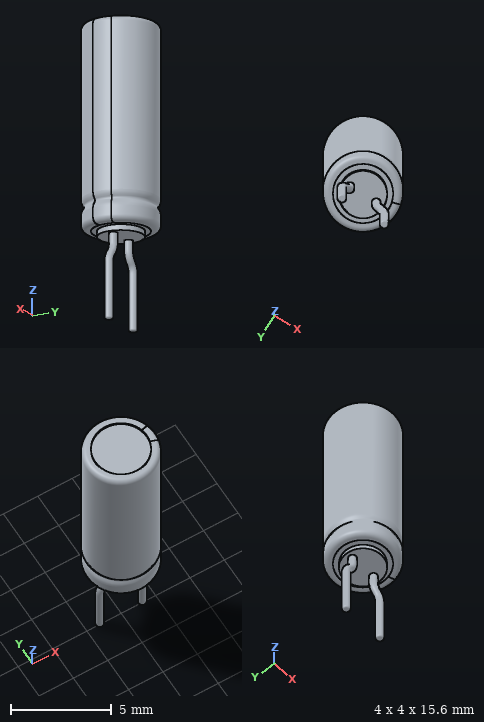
import cadquery as cq
import math


total_height = 15.6
can_radius = 4.0 / 2
can_bottom = 4.9
edge_fillet = 0.3

groove_height = 6.1
groove_depth = 0.148
groove_half_width = 0.4
groove_floor_radius = 0.17

core_radius = 3.0 / 2
core_recess = 0.1

stripe_angle = 30.0

bung_radius = 2.4 / 2
bung_height = 0.3
bung_bottom = can_bottom - bung_height

lead_radius = 0.45 / 2
lead_spacing = 2.48
bend_radius = 0.8
bend_angle = math.radians(45)
stub_length = 0.5
tip_fillet = 0.1


def sleeve_sector(start_angle, sweep_angle):
    """Sector of the sleeve wall, with rounded rims and the belt groove."""
    arc_sum = (groove_depth**2 + groove_half_width**2) / (2 * groove_depth)
    shoulder_radius = arc_sum - groove_floor_radius
    tangent_share = shoulder_radius / arc_sum
    tangent_radius = can_radius - groove_depth * tangent_share
    tangent_offset = groove_half_width * (1 - tangent_share)
    shoulder_half_angle = math.asin(groove_half_width / arc_sum) / 2
    shoulder_mid_radius = can_radius - shoulder_radius * (1 - math.cos(shoulder_half_angle))
    shoulder_mid_offset = groove_half_width - shoulder_radius * math.sin(shoulder_half_angle)

    rim_radius = can_radius - edge_fillet
    fillet_inset = edge_fillet * (1 - math.sqrt(0.5))
    fillet_mid_radius = can_radius - fillet_inset

    profile = (
        cq.Workplane("XZ")
        .moveTo(core_radius, can_bottom)
        .lineTo(rim_radius, can_bottom)
        .threePointArc(
            (fillet_mid_radius, can_bottom + fillet_inset),
            (can_radius, can_bottom + edge_fillet),
        )
        .lineTo(can_radius, groove_height - groove_half_width)
        .threePointArc(
            (shoulder_mid_radius, groove_height - shoulder_mid_offset),
            (tangent_radius, groove_height - tangent_offset),
        )
        .threePointArc(
            (can_radius - groove_depth, groove_height),
            (tangent_radius, groove_height + tangent_offset),
        )
        .threePointArc(
            (shoulder_mid_radius, groove_height + shoulder_mid_offset),
            (can_radius, groove_height + groove_half_width),
        )
        .lineTo(can_radius, total_height - edge_fillet)
        .threePointArc(
            (fillet_mid_radius, total_height - fillet_inset),
            (rim_radius, total_height),
        )
        .lineTo(core_radius, total_height)
        .close()
    )
    sector = profile.revolve(sweep_angle, (0, 0, 0), (0, 1, 0))
    return sector.rotate((0, 0, 0), (0, 0, 1), start_angle)


def make_core():
    """Can core that fills the sleeve."""
    core_height = total_height - core_recess - can_bottom
    return cq.Workplane("XY").workplane(offset=can_bottom).circle(core_radius).extrude(core_height)


def make_bung():
    """Short disc that closes the foot of the can."""
    return cq.Workplane("XY").workplane(offset=bung_bottom).circle(bung_radius).extrude(bung_height)


def make_lead(side):
    """Lead on the -X (side = -1) or +X (side = 1) half, bent outward."""
    leg_x = lead_spacing / 2
    bend_offset = 2 * bend_radius * (1 - math.cos(bend_angle))
    bend_height = 2 * bend_radius * math.sin(bend_angle)
    stub_x = leg_x - bend_offset
    bend_top = bung_bottom - stub_length
    bend_bottom = bend_top - bend_height

    half_arc_offset = bend_radius * (1 - math.cos(bend_angle / 2))
    half_arc_height = bend_radius * math.sin(bend_angle / 2)

    path = (
        cq.Workplane("XZ")
        .moveTo(side * stub_x, bung_bottom)
        .lineTo(side * stub_x, bend_top)
        .threePointArc(
            (side * (stub_x + half_arc_offset), bend_top - half_arc_height),
            (side * (stub_x + bend_offset / 2), bend_top - bend_height / 2),
        )
        .threePointArc(
            (side * (leg_x - half_arc_offset), bend_bottom + half_arc_height),
            (side * leg_x, bend_bottom),
        )
        .lineTo(side * leg_x, 0)
    )
    section = cq.Workplane("XY", origin=(side * stub_x, 0, bung_bottom)).circle(lead_radius)
    return section.sweep(path).faces("<Z").edges().fillet(tip_fillet)


sleeve = sleeve_sector(stripe_angle / 2, 360 - stripe_angle)
stripe = sleeve_sector(-stripe_angle / 2, stripe_angle)
core = make_core()
bung = make_bung()
leads = [make_lead(side) for side in (-1, 1)]

result = cq.Compound.makeCompound(
    [sleeve.val(), stripe.val(), core.val(), bung.val(), *[lead.val() for lead in leads]]
)